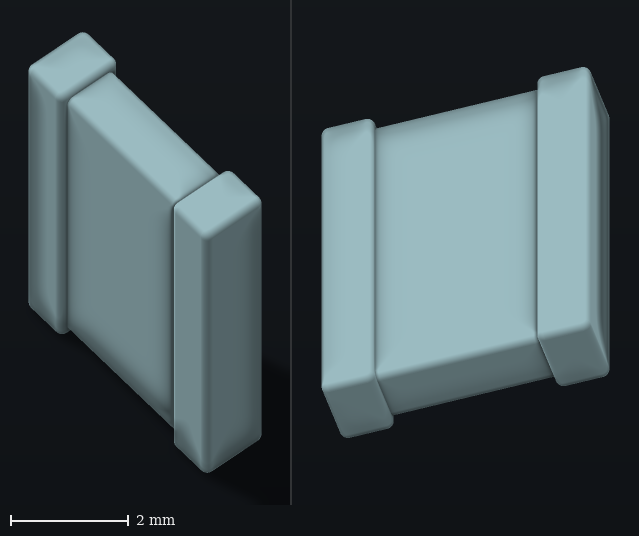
import cadquery as cq

LENGTH = 4.8
DEPTH = 1.3
HEIGHT = 6.8

TERMINAL_WIDTH = 0.95
EDGE_RADIUS = 0.1414

BODY_LENGTH = LENGTH - 2 * TERMINAL_WIDTH
BODY_DEPTH = DEPTH - 2 * EDGE_RADIUS
BODY_HEIGHT = HEIGHT - 2 * EDGE_RADIUS


def make_body():
    """Slab with its four long edges, parallel to X, rounded."""
    slab = cq.Workplane("XY").box(BODY_LENGTH, BODY_DEPTH, BODY_HEIGHT)
    return slab.edges("|X").fillet(EDGE_RADIUS)


def make_terminal(side):
    """Bar with every edge rounded; side is -1 or +1 for the end of X it sits at."""
    center_x = side * (LENGTH - TERMINAL_WIDTH) / 2
    bar = cq.Workplane("XY").box(TERMINAL_WIDTH, DEPTH, HEIGHT)
    return bar.edges().fillet(EDGE_RADIUS).translate((center_x, 0, 0))


body = make_body()
terminals = [make_terminal(side) for side in (-1, 1)]

result = cq.Compound.makeCompound([body.val(), *[terminal.val() for terminal in terminals]])